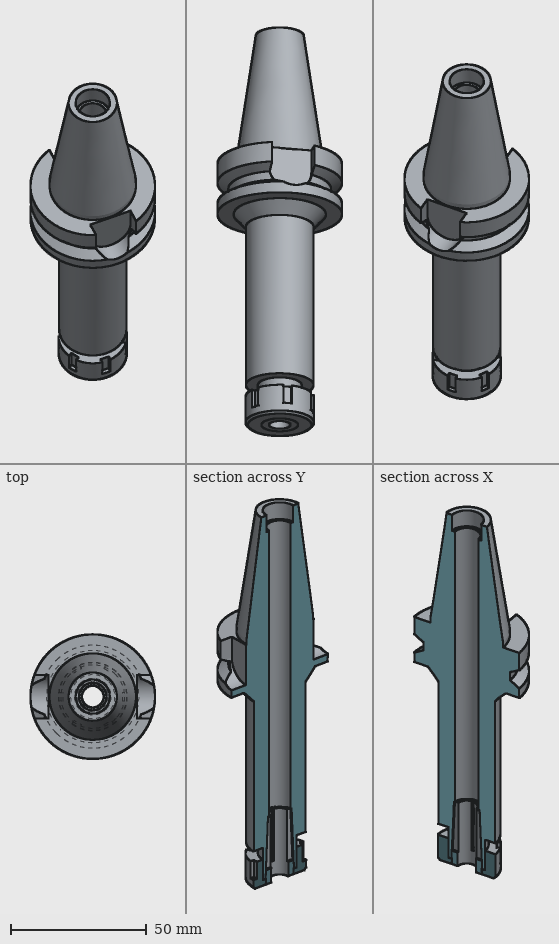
import cadquery as cq
import math

TOTAL_LENGTH = 153.4
TAPER_LENGTH = 48.3
GAUGE_Z = TOTAL_LENGTH - TAPER_LENGTH
FLANGE_TOP_Z = 103.0
FLANGE_HEIGHT = 20.0
FLANGE_BOTTOM_Z = FLANGE_TOP_Z - FLANGE_HEIGHT
SHANK_TOP_Z = 78.1
SHANK_BOTTOM_Z = 15.6
NUT_HEIGHT = 11.0
NOSE_BOTTOM_Z = 2.3

TAPER_RATE = 7 / 24
GAUGE_RADIUS = 16.0
TAPER_END_RADIUS = GAUGE_RADIUS - TAPER_LENGTH * TAPER_RATE / 2
FLANGE_RADIUS = 23.0
GROOVE_RADIUS = 19.0
GROOVE_ROOT_WIDTH = 3.4
GROOVE_CENTER_Z = 91.3
GROOVE_FLANK_ANGLE = 30.0
FLARE_RADIUS = 17.0
SHANK_RADIUS = 25.0 / 2
NOSE_RADIUS = 8.1

PILOT_RADIUS = 6.3
PILOT_DEPTH = 6.9
THREAD_RADIUS = 5.0

DRIVE_SLOT_WIDTH = 16.1
DRIVE_SLOT_BOTTOM_Z = 86.2
DRIVE_SLOT_FLOOR_X = 16.3

COLLET_LENGTH = 27.6
COLLET_BOTTOM_RADIUS = 6.7
COLLET_TOP_RADIUS = 5.5
COLLET_BORE_RADIUS = 4.0
COLLET_SLOT_COUNT = 4
COLLET_SLOT_WIDTH = 1.0
COLLET_SLOT_DEPTH = 21.5

NUT_RADIUS = 25.3 / 2
NUT_CHAMFER = 0.9
NUT_SLOT_COUNT = 6
NUT_SLOT_WIDTH = 3.2
NUT_SLOT_DEPTH = 7.0
NUT_SLOT_FLOOR_RADIUS = 11.0


def revolve_profile(points):
    """Solid of revolution about Z from a closed outline of (radius, z) points."""
    return cq.Workplane("XZ").polyline(points).close().revolve(360, (0, 0, 0), (0, 1, 0))


def collet_envelope():
    """Solid cone filling the collet seat."""
    return revolve_profile([
        (0, 0),
        (COLLET_BOTTOM_RADIUS, 0),
        (COLLET_TOP_RADIUS, COLLET_LENGTH),
        (0, COLLET_LENGTH),
    ])


def holder_blank():
    """Outside of the holder: taper, grooved flange, flare, shank and nose."""
    flank_height = (FLANGE_RADIUS - GROOVE_RADIUS) * math.tan(math.radians(GROOVE_FLANK_ANGLE))
    root_top_z = GROOVE_CENTER_Z + GROOVE_ROOT_WIDTH / 2
    root_bottom_z = GROOVE_CENTER_Z - GROOVE_ROOT_WIDTH / 2
    return revolve_profile([
        (0, TOTAL_LENGTH),
        (TAPER_END_RADIUS, TOTAL_LENGTH),
        (GAUGE_RADIUS, GAUGE_Z),
        (GAUGE_RADIUS, FLANGE_TOP_Z),
        (FLANGE_RADIUS, FLANGE_TOP_Z),
        (FLANGE_RADIUS, root_top_z + flank_height),
        (GROOVE_RADIUS, root_top_z),
        (GROOVE_RADIUS, root_bottom_z),
        (FLANGE_RADIUS, root_bottom_z - flank_height),
        (FLANGE_RADIUS, FLANGE_BOTTOM_Z),
        (FLARE_RADIUS, FLANGE_BOTTOM_Z),
        (SHANK_RADIUS, SHANK_TOP_Z),
        (SHANK_RADIUS, SHANK_BOTTOM_Z),
        (NOSE_RADIUS, SHANK_BOTTOM_Z),
        (NOSE_RADIUS, NOSE_BOTTOM_Z),
        (0, NOSE_BOTTOM_Z),
    ])


def drawbar_bore():
    """Stepped bore from the taper end down to the collet seat."""
    pilot = (
        cq.Workplane("XY", origin=(0, 0, TOTAL_LENGTH - PILOT_DEPTH))
        .circle(PILOT_RADIUS)
        .extrude(PILOT_DEPTH)
    )
    thread = (
        cq.Workplane("XY", origin=(0, 0, COLLET_LENGTH))
        .circle(THREAD_RADIUS)
        .extrude(TOTAL_LENGTH - COLLET_LENGTH)
    )
    return pilot.union(thread)


def drive_slot():
    """Round-bottomed slot, open to the top and to the +X side of the flange."""
    half_width = DRIVE_SLOT_WIDTH / 2
    arc_center_z = DRIVE_SLOT_BOTTOM_Z + half_width
    return (
        cq.Workplane("YZ", origin=(DRIVE_SLOT_FLOOR_X, 0, 0))
        .moveTo(-half_width, FLANGE_TOP_Z)
        .lineTo(-half_width, arc_center_z)
        .threePointArc((0, DRIVE_SLOT_BOTTOM_Z), (half_width, arc_center_z))
        .lineTo(half_width, FLANGE_TOP_Z)
        .close()
        .extrude(FLANGE_RADIUS - DRIVE_SLOT_FLOOR_X)
    )


def make_holder():
    holder = holder_blank().cut(drawbar_bore()).cut(collet_envelope())
    for angle in (0, 180):
        holder = holder.cut(drive_slot().rotate((0, 0, 0), (0, 0, 1), angle))
    return holder


def make_collet():
    """Tapered collet with a through bore and radial slots open at the top."""
    bore = cq.Workplane("XY").circle(COLLET_BORE_RADIUS).extrude(COLLET_LENGTH)
    collet = collet_envelope().cut(bore)
    slot = (
        cq.Workplane("XY", origin=(0, 0, COLLET_LENGTH - COLLET_SLOT_DEPTH))
        .center(COLLET_BOTTOM_RADIUS / 2, 0)
        .rect(COLLET_BOTTOM_RADIUS, COLLET_SLOT_WIDTH)
        .extrude(COLLET_SLOT_DEPTH)
    )
    for i in range(COLLET_SLOT_COUNT):
        collet = collet.cut(slot.rotate((0, 0, 0), (0, 0, 1), i * 360 / COLLET_SLOT_COUNT))
    return collet


def make_nut():
    """Clamping nut with wrench slots around the rim and a recess for the nose."""
    nut = cq.Workplane("XY").circle(NUT_RADIUS).extrude(NUT_HEIGHT).faces("<Z").chamfer(NUT_CHAMFER)
    nose_recess = (
        cq.Workplane("XY", origin=(0, 0, NOSE_BOTTOM_Z))
        .circle(NOSE_RADIUS)
        .extrude(NUT_HEIGHT - NOSE_BOTTOM_Z)
    )
    nut = nut.cut(nose_recess).cut(collet_envelope())
    slot = (
        cq.Workplane("XY", origin=(NUT_RADIUS, 0, NUT_HEIGHT - NUT_SLOT_DEPTH))
        .rect(2 * (NUT_RADIUS - NUT_SLOT_FLOOR_RADIUS), NUT_SLOT_WIDTH)
        .extrude(NUT_SLOT_DEPTH)
    )
    for i in range(NUT_SLOT_COUNT):
        nut = nut.cut(slot.rotate((0, 0, 0), (0, 0, 1), i * 360 / NUT_SLOT_COUNT))
    return nut


holder = make_holder()
collet = make_collet()
nut = make_nut()

result = cq.Compound.makeCompound([holder.val(), collet.val(), nut.val()])